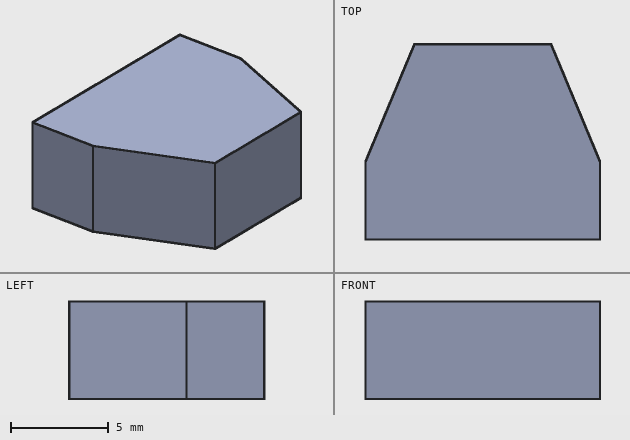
import cadquery as cq

width = 12.0
depth = 10.0
height = 5.0
back_width = 7.0
straight_depth = 4.0

half_width = width / 2
half_back_width = back_width / 2
front_y = -depth / 2
back_y = depth / 2
taper_start_y = front_y + straight_depth

outline = [
    (-half_width, front_y),
    (half_width, front_y),
    (half_width, taper_start_y),
    (half_back_width, back_y),
    (-half_back_width, back_y),
    (-half_width, taper_start_y),
]

result = cq.Workplane("XY").polyline(outline).close().extrude(height)